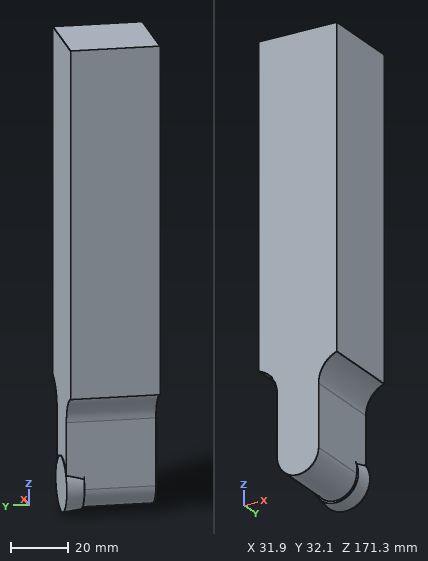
import cadquery as cq
import math

overall_height = 171.3
shank_width = 31.9
shank_depth = 31.9
neck_width = 17.0
neck_top = 34.6
shoulder_radius = 11.0
insert_diameter = 20.0
insert_thickness = 6.5
insert_projection = 0.2
relief_angle = 7.0

half_shank = shank_width / 2
half_neck = neck_width / 2
insert_radius = insert_diameter / 2
nose_height = insert_radius
insert_back_radius = insert_radius - insert_thickness * math.tan(math.radians(relief_angle))
insert_back_y = shank_depth + insert_projection - insert_thickness


def shoulder_point(angle):
    """Point on the +X shoulder arc, with the angle measured up from its tangent at the neck."""
    x = half_neck + shoulder_radius * (1 - math.cos(angle))
    z = neck_top + shoulder_radius * math.sin(angle)
    return x, z


def mirrored(point):
    return -point[0], point[1]


def make_insert():
    """Round button insert: a cone frustum that widens toward its +Y face."""
    profile = [
        (0, insert_back_y),
        (insert_back_radius, insert_back_y),
        (insert_radius, insert_back_y + insert_thickness),
        (0, insert_back_y + insert_thickness),
    ]
    return (
        cq.Workplane("XY")
        .polyline(profile)
        .close()
        .revolve(360, (0, 0), (0, 1))
        .translate((0, 0, nose_height))
    )


def make_holder(insert):
    """Square shank with concave shoulders, a narrow round-nosed neck and the insert pocket."""
    end_angle = math.acos(1 - (half_shank - half_neck) / shoulder_radius)
    shoulder_end = shoulder_point(end_angle)
    shoulder_middle = shoulder_point(end_angle / 2)
    blank = (
        cq.Workplane("XZ")
        .moveTo(-half_neck, nose_height)
        .threePointArc((0, nose_height - half_neck), (half_neck, nose_height))
        .lineTo(half_neck, neck_top)
        .threePointArc(shoulder_middle, shoulder_end)
        .lineTo(half_shank, overall_height)
        .lineTo(-half_shank, overall_height)
        .lineTo(*mirrored(shoulder_end))
        .threePointArc(mirrored(shoulder_middle), (-half_neck, neck_top))
        .close()
        .extrude(-shank_depth)
    )
    return blank.cut(insert).solids()


insert = make_insert()
holder = make_holder(insert)

result = cq.Compound.makeCompound([holder.val(), insert.val()])